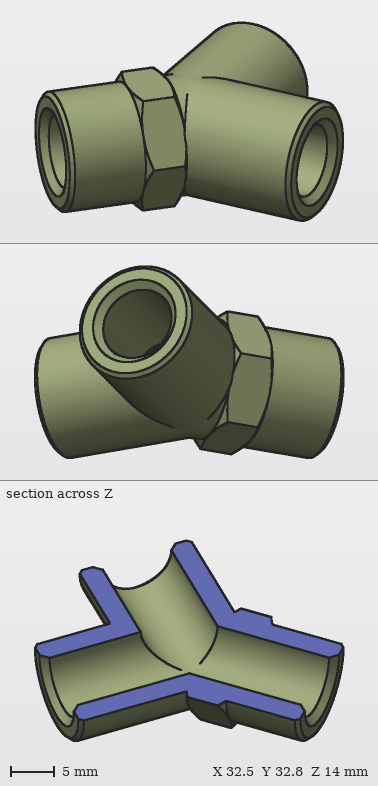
import cadquery as cq
import math

overall_length = 32.75
pipe_diameter = 14.0
bore_diameter = 8.5
rim_chamfer = 0.5
mouth_chamfer = 0.9
branch_angle = 45.0
hex_width = pipe_diameter
hex_length = 5.0
hex_offset = 9.0
hex_chamfer_angle = 30.0

pipe_radius = pipe_diameter / 2
bore_radius = bore_diameter / 2
tilt = math.radians(branch_angle)
rim_radius = pipe_radius - rim_chamfer
arm_length = (overall_length - rim_radius * math.sin(tilt)) / (1 + math.cos(tilt))
hex_corner_diameter = hex_width / math.cos(math.radians(30))
hex_chamfer_height = (hex_corner_diameter - hex_width) / 2 * math.tan(math.radians(hex_chamfer_angle))


def arm_plane(direction):
    """Plane at the junction whose normal runs outward along an arm."""
    return cq.Plane(origin=(0, 0, 0), xDir=(0, 0, 1), normal=direction)


def outer_arm(direction):
    """Solid pipe with a chamfered rim at its open end."""
    arm = cq.Workplane(arm_plane(direction)).circle(pipe_radius).extrude(arm_length)
    return arm.faces(cq.selectors.DirectionMinMaxSelector(cq.Vector(*direction))).chamfer(rim_chamfer)


def arm_bore(direction):
    """Bore from the junction to the open end, flared at 45 degrees at the mouth."""
    profile = [
        (0, 0),
        (bore_radius, 0),
        (bore_radius, arm_length - mouth_chamfer),
        (bore_radius + mouth_chamfer, arm_length),
        (0, arm_length),
    ]
    spin = cq.Plane(origin=(0, 0, 0), xDir=(0, 0, 1), normal=cq.Vector(0, 0, 1).cross(cq.Vector(*direction)))
    return cq.Workplane(spin).polyline(profile).close().revolve(360, (0, 0), (0, 1))


def hex_collar():
    """Hexagon around the stem with flats on +Z and -Z and conically chamfered ends."""
    start = arm_length - hex_offset - hex_length
    end = start + hex_length
    prism = (
        cq.Workplane("XZ", origin=(0, -start, 0))
        .polygon(6, hex_corner_diameter)
        .extrude(hex_length)
    )
    corner_radius = hex_corner_diameter / 2
    envelope = (
        cq.Workplane("XY")
        .polyline([
            (0, -start),
            (hex_width / 2, -start),
            (corner_radius, -start - hex_chamfer_height),
            (corner_radius, -end + hex_chamfer_height),
            (hex_width / 2, -end),
            (0, -end),
        ])
        .close()
        .revolve(360, (0, 0), (0, 1))
    )
    return prism.intersect(envelope)


arm_directions = [
    (0, -1, 0),
    (math.sin(tilt), math.cos(tilt), 0),
    (-math.sin(tilt), math.cos(tilt), 0),
]

result = hex_collar()
for arm_direction in arm_directions:
    result = result.union(outer_arm(arm_direction))
for arm_direction in arm_directions:
    result = result.cut(arm_bore(arm_direction))